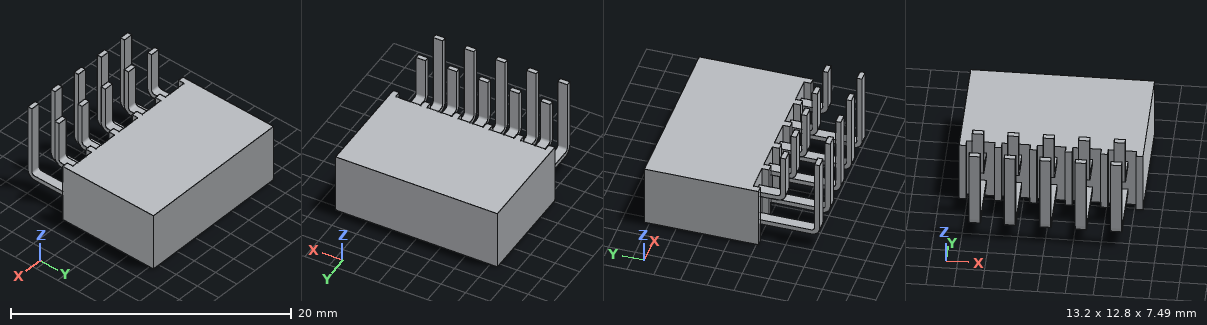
import cadquery as cq


column_count = 5
housing_length = 13.21
housing_depth = 8.53
housing_height = 4.94
rib_thickness = 0.5
recess_depth = 0.53
pitch = (housing_length - rib_thickness) / column_count
recess_width = pitch - rib_thickness

pin_width = 0.79
pin_thickness = 0.4
bend_inner_radius = 0.25
bend_outer_radius = bend_inner_radius + pin_thickness
pin_top = 7.49
outer_reach = 4.24
inner_reach = outer_reach - pitch
lower_pin_bottom = (housing_height - pitch - pin_thickness) / 2
upper_pin_bottom = lower_pin_bottom + pitch

column_centres = [(i - (column_count - 1) / 2) * pitch for i in range(column_count)]


def make_housing():
    """Block with its rear face at Y = 0 and one full-height recess per column."""
    block = cq.Workplane("XY").box(
        housing_length, housing_depth, housing_height, centered=(True, False, False)
    )
    recesses = (
        cq.Workplane("XY")
        .pushPoints([(x, recess_depth / 2) for x in column_centres])
        .rect(recess_width, recess_depth)
        .extrude(housing_height)
    )
    return block.cut(recesses)


def make_pin(centre_x, reach, bottom):
    """L-shaped pin from the recess floor out to Y = -reach, then up to the pin top."""
    profile = (
        cq.Workplane("YZ", origin=(centre_x, 0, 0))
        .moveTo(recess_depth, bottom)
        .lineTo(bend_outer_radius - reach, bottom)
        .radiusArc((-reach, bottom + bend_outer_radius), bend_outer_radius)
        .lineTo(-reach, pin_top)
        .lineTo(pin_thickness - reach, pin_top)
        .lineTo(pin_thickness - reach, bottom + bend_outer_radius)
        .radiusArc((bend_outer_radius - reach, bottom + pin_thickness), -bend_inner_radius)
        .lineTo(recess_depth, bottom + pin_thickness)
        .close()
    )
    return profile.extrude(pin_width / 2, both=True)


result = make_housing()
for column_x in column_centres:
    result = result.union(make_pin(column_x, outer_reach, lower_pin_bottom))
    result = result.union(make_pin(column_x, inner_reach, upper_pin_bottom))